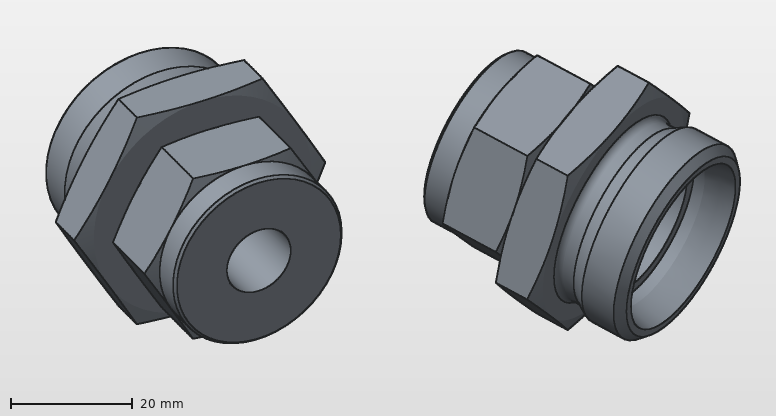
import cadquery as cq
import math

length = 41.15
lead_chamfer_end = 1.55
thread_end = 7.9
neck_start = 10.55
neck_end = 12.6
body_hex_start = 13.95
body_hex_end = 22.15
nut_start = 24.05
nut_end = 36.15

mouth_face_radius = 16.55
thread_radius = 18.05
neck_radius = 16.5
flare_radius = 17.3
spigot_radius = 12.02
collar_radius = 15.9
collar_chamfer = 0.45

flats_to_corners = math.cos(math.radians(30))
body_hex_corner_diameter = 47.35
nut_hex_flats = 2 * collar_radius
nut_hex_corner_diameter = nut_hex_flats / flats_to_corners
corner_chamfer_angle = 17.0

cone_mouth_radius = 15.25
socket_radius = 14.0
cone_depth = 5.3
socket_depth = 7.5
bore_radius = 12.02
bore_depth = 16.85
passage_radius = 6.0
drill_cone_half_angle = 60.0


def revolve_about_x(outline):
    """Solid of revolution from an (x, radius) outline that closes along the axis."""
    return outline.close().revolve(360, (0, 0, 0), (1, 0, 0))


def turned_body():
    flare_height = flare_radius - neck_radius
    flare_length = body_hex_start - neck_end
    arc_radius = (flare_length**2 + flare_height**2) / (2 * flare_height)
    half_sweep = math.asin(flare_length / arc_radius) / 2
    flare_middle = (
        neck_end + arc_radius * math.sin(half_sweep),
        neck_radius + arc_radius * (1 - math.cos(half_sweep)),
    )
    outline = (
        cq.Workplane("XY")
        .moveTo(0, 0)
        .lineTo(0, mouth_face_radius)
        .lineTo(lead_chamfer_end, thread_radius)
        .lineTo(thread_end, thread_radius)
        .lineTo(neck_start, neck_radius)
        .lineTo(neck_end, neck_radius)
        .threePointArc(flare_middle, (body_hex_start, flare_radius))
        .lineTo(body_hex_start, spigot_radius)
        .lineTo(nut_end, spigot_radius)
        .lineTo(nut_end, collar_radius)
        .lineTo(length - collar_chamfer, collar_radius)
        .lineTo(length, collar_radius - collar_chamfer)
        .lineTo(length, 0)
    )
    return revolve_about_x(outline)


def chamfered_hexagon(start, end, corner_diameter):
    """Hexagonal prism along X with its corners turned down to the flats at both ends."""
    corner_radius = corner_diameter / 2
    flat_radius = corner_radius * flats_to_corners
    chamfer_length = (corner_radius - flat_radius) * math.tan(math.radians(corner_chamfer_angle))
    prism = (
        cq.Workplane("YZ", origin=(start, 0, 0))
        .polygon(6, corner_diameter)
        .extrude(end - start)
    )
    envelope = (
        cq.Workplane("XY")
        .moveTo(start, 0)
        .lineTo(start, flat_radius)
        .lineTo(start + chamfer_length, corner_radius)
        .lineTo(end - chamfer_length, corner_radius)
        .lineTo(end, flat_radius)
        .lineTo(end, 0)
    )
    return prism.intersect(revolve_about_x(envelope))


def stepped_bore():
    drill_cone_length = (bore_radius - passage_radius) / math.tan(math.radians(drill_cone_half_angle))
    outline = (
        cq.Workplane("XY")
        .moveTo(0, 0)
        .lineTo(0, cone_mouth_radius)
        .lineTo(cone_depth, socket_radius)
        .lineTo(socket_depth, socket_radius)
        .lineTo(socket_depth, bore_radius)
        .lineTo(bore_depth, bore_radius)
        .lineTo(bore_depth + drill_cone_length, passage_radius)
        .lineTo(length, passage_radius)
        .lineTo(length, 0)
    )
    return revolve_about_x(outline)


result = (
    turned_body()
    .union(chamfered_hexagon(body_hex_start, body_hex_end, body_hex_corner_diameter))
    .union(chamfered_hexagon(nut_start, nut_end, nut_hex_corner_diameter))
    .cut(stepped_bore())
)